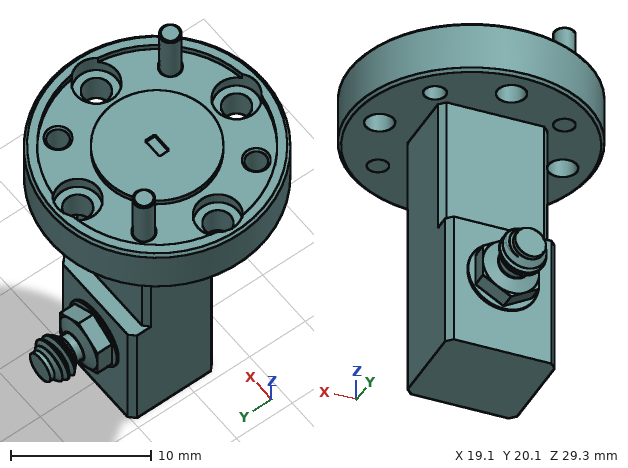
import cadquery as cq
import math

flange_diameter = 19.05
flange_radius = flange_diameter / 2
flange_bottom = 21.3
flange_top = 25.46
flange_edge_chamfer = 0.23
recess_radius = 8.58
recess_depth = 0.53
boss_radius = 4.75
boss_drop = 0.05

hole_circle_radius = 7.15
screw_hole_radius = 1.1
counterbore_radius = 1.8
counterbore_depth = 1.55
dowel_hole_radius = 0.85
dowel_hole_chamfer = 0.18

pin_diameter = 1.6
pin_radius = pin_diameter / 2
pin_top = 29.27
pin_tip_chamfer = 0.12
pin_hole_chamfer = 0.1

port_length = 1.7
port_width = 0.88
port_corner_radius = 0.12
port_depth = 0.23

block_width = 8.55
block_front = -2.02
upper_block_back = 4.27
lower_block_back = 5.55
lower_block_height = 10.63
block_chamfer = 0.47

connector_height = 6.35
washer_radius = 2.75
washer_end = 5.75
nut_corner_diameter = 5.05
nut_corner_radius = nut_corner_diameter / 2
nut_end = 7.05
cone_end = 7.45
cone_small_radius = 1.2
neck_radius = 1.1
thread_start = 8.1
thread_end = 10.13
tip_radius = 1.2
overall_depth = 20.05
connector_end = overall_depth - flange_radius

thread_crest_radius = 1.75
thread_root_radius = 1.35
thread_flank_angle = 30.0
groove_start = 7.5
groove_length = 3.01
groove_turns = 5
thread_pitch = groove_length / groove_turns
groove_start_angle = 11.0
groove_overcut = 0.05

recess_floor = flange_top - recess_depth
hole_offset = hole_circle_radius / math.sqrt(2)
screw_hole_places = [
    (hole_circle_radius, 0),
    (-hole_circle_radius, 0),
    (0, hole_circle_radius),
    (0, -hole_circle_radius),
]
dowel_hole_places = [(hole_offset, hole_offset), (-hole_offset, -hole_offset)]
pin_places = [(-hole_offset, hole_offset), (hole_offset, -hole_offset)]


def cylinder_z(radius, bottom, top, places=((0, 0),)):
    """Upright cylinders between two heights."""
    return cq.Workplane("XY", origin=(0, 0, bottom)).pushPoints(places).circle(radius).extrude(top - bottom)


def chamfered_holes(radius, chamfer, places):
    """Cutters for holes through the flange, chamfered at the recess floor."""
    holes = cylinder_z(radius, flange_bottom, flange_top, places)
    for x, y in places:
        countersink = cq.Solid.makeCone(
            radius, radius + chamfer, chamfer, cq.Vector(x, y, recess_floor - chamfer), cq.Vector(0, 0, 1)
        )
        holes = holes.union(cq.Workplane(countersink))
    return holes


def make_flange():
    flange = cylinder_z(flange_radius, flange_bottom, flange_top).edges().chamfer(flange_edge_chamfer)
    flange = flange.cut(cylinder_z(recess_radius, recess_floor, flange_top))
    flange = flange.union(cylinder_z(boss_radius, flange_bottom, flange_top - boss_drop))
    flange = flange.cut(cylinder_z(screw_hole_radius, flange_bottom, flange_top, screw_hole_places))
    counterbore_floor = flange_top - counterbore_depth
    flange = flange.cut(cylinder_z(counterbore_radius, counterbore_floor, flange_top, screw_hole_places))
    flange = flange.cut(chamfered_holes(dowel_hole_radius, dowel_hole_chamfer, dowel_hole_places))
    flange = flange.cut(chamfered_holes(pin_radius, pin_hole_chamfer, pin_places))
    port = (
        cq.Workplane("XY", origin=(0, 0, flange_top - boss_drop))
        .rect(port_length, port_width)
        .extrude(-port_depth)
        .edges("|Z")
        .fillet(port_corner_radius)
    )
    return flange.cut(port)


def block_part(back, bottom, top):
    """Upright block with chamfered corners, from the common front face to the given back face."""
    depth = back - block_front
    return (
        cq.Workplane("XY", origin=(0, (back + block_front) / 2, bottom))
        .rect(block_width, depth)
        .extrude(top - bottom)
        .edges("|Z")
        .chamfer(block_chamfer)
    )


def make_block():
    lower = block_part(lower_block_back, 0, lower_block_height)
    upper = block_part(upper_block_back, 0, flange_bottom)
    return lower.union(upper)


def revolve_along_y(profile):
    """Revolve (radius, y) points about the connector axis."""
    return (
        cq.Workplane("XY", origin=(0, 0, connector_height))
        .polyline(profile)
        .close()
        .revolve(360, (0, 0, 0), (0, 1, 0))
    )


def make_thread_blank():
    """Unthreaded cylinder with 45 degree ends."""
    start_run_out = thread_crest_radius - neck_radius
    end_run_out = thread_crest_radius - tip_radius
    return revolve_along_y(
        [
            (0, thread_start),
            (neck_radius, thread_start),
            (thread_crest_radius, thread_start + start_run_out),
            (thread_crest_radius, thread_end - end_run_out),
            (tip_radius, thread_end),
            (0, thread_end),
        ]
    )


def make_groove_turn():
    """Cutter for one turn of the V groove, starting at y = 0 and advancing along +Y."""
    groove_outer_radius = thread_crest_radius + groove_overcut
    slope = math.tan(math.radians(thread_flank_angle))
    groove_half_width = (groove_outer_radius - thread_root_radius) * slope
    one_turn = cq.Wire.makeHelix(thread_pitch, thread_pitch, thread_root_radius)
    return (
        cq.Workplane("XZ")
        .polyline(
            [
                (thread_root_radius, 0),
                (groove_outer_radius, groove_half_width),
                (groove_outer_radius, -groove_half_width),
            ]
        )
        .close()
        .sweep(cq.Workplane(one_turn), isFrenet=True)
        .rotate((0, 0, 0), (0, 0, 1), groove_start_angle)
        .rotate((0, 0, 0), (1, 0, 0), -90)
        .translate((0, 0, connector_height))
    )


def make_thread():
    thread = make_thread_blank()
    groove_turn = make_groove_turn()
    for turn in range(groove_turns):
        groove_y = groove_start + turn * thread_pitch
        thread = thread.cut(groove_turn.translate((0, groove_y, 0)), clean=False)
    return thread


def make_connector():
    nut = (
        cq.Workplane("XZ", origin=(0, lower_block_back, connector_height))
        .polygon(6, nut_corner_diameter)
        .extrude(lower_block_back - nut_end)
        .rotate((0, 0, connector_height), (0, 1, connector_height), 90)
    )
    nut_flat_radius = nut_corner_radius * math.cos(math.pi / 6)
    core = revolve_along_y(
        [
            (0, lower_block_back),
            (washer_radius, lower_block_back),
            (washer_radius, washer_end),
            (nut_flat_radius, washer_end),
            (nut_flat_radius, nut_end),
            (cone_small_radius, cone_end),
            (neck_radius, cone_end),
            (neck_radius, thread_end),
            (tip_radius, thread_end),
            (tip_radius, connector_end),
            (0, connector_end),
        ]
    )
    return core.union(nut).union(make_thread(), clean=False)


def make_pin(x, y):
    pin = cylinder_z(pin_radius, flange_bottom, pin_top, [(x, y)])
    return pin.faces(">Z").chamfer(pin_tip_chamfer)


def make_housing():
    """Flange, block and connector as one body."""
    body = make_flange().union(make_block())
    return body.union(make_connector(), clean=False)


housing = make_housing()
pins = [make_pin(x, y) for x, y in pin_places]

result = cq.Compound.makeCompound([housing.solids().val(), *[pin.solids().val() for pin in pins]])